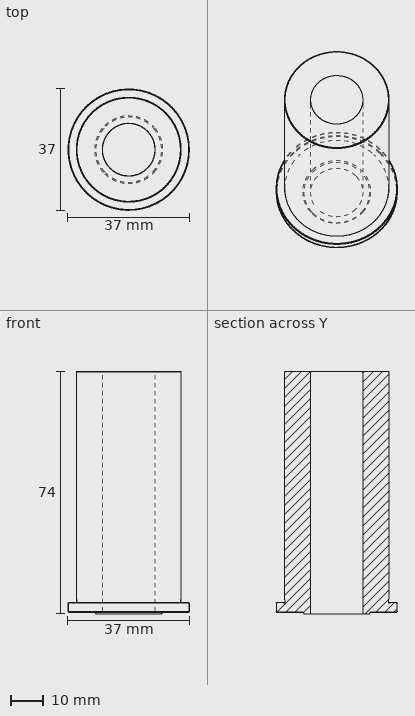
import cadquery as cq

total_height = 74.0
flange_radius = 18.5
body_radius = 16.0
bore_radius = 8.0

foot_height = 0.5
flange_thickness = 3.0
flange_top = foot_height + flange_thickness

foot_top_radius = 10.35
foot_bottom_radius = 10.0

relief_height = 1.25
relief_depth = 0.15
relief_reach = 0.5
relief_sink = 0.11

body_chamfer = 0.2
flange_chamfer = 0.2


def make_body():
    """Cylindrical body with a chamfered top rim."""
    body = cq.Workplane("XY").workplane(offset=flange_top)
    body = body.circle(body_radius).extrude(total_height - flange_top)
    return body.faces(">Z").edges().chamfer(body_chamfer)


def make_flange():
    """Flange disc with both outer edges chamfered."""
    flange = cq.Workplane("XY").workplane(offset=foot_height)
    flange = flange.circle(flange_radius).extrude(flange_thickness)
    return flange.edges().chamfer(flange_chamfer)


def make_foot():
    """Shallow conical ring carrying the bush below its flange."""
    foot = cq.Workplane("XY").circle(foot_bottom_radius)
    return foot.workplane(offset=foot_height).circle(foot_top_radius).loft(ruled=True)


def make_relief():
    """Ring that tapers slightly into the body and sinks into the flange face."""
    neck_radius = body_radius - relief_depth
    groove_bottom = flange_top - relief_sink
    profile = (
        cq.Workplane("XZ")
        .moveTo(body_radius, flange_top + relief_height)
        .lineTo(neck_radius, groove_bottom)
        .lineTo(body_radius, groove_bottom)
        .lineTo(body_radius + relief_reach, flange_top)
        .lineTo(body_radius + relief_reach, flange_top + relief_height)
        .close()
    )
    return profile.revolve(360, (0, 0, 0), (0, 1, 0))


def make_bore():
    """Straight bore through the full height."""
    return cq.Workplane("XY").circle(bore_radius).extrude(total_height)


bush = make_flange().union(make_body()).union(make_foot())
result = bush.cut(make_relief()).cut(make_bore())